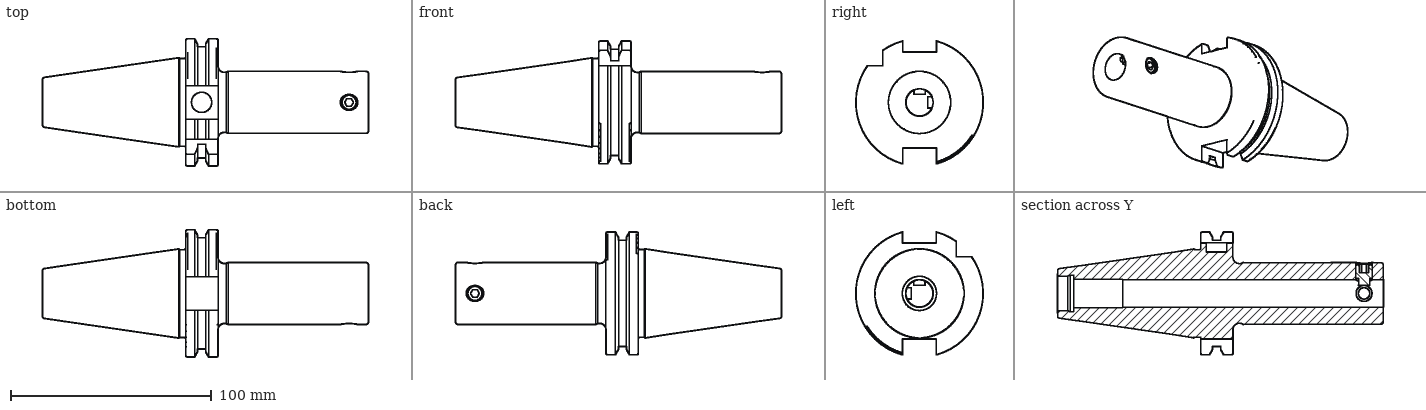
import cadquery as cq
import math


total_length = 162.4
taper_length = 67.9
taper_per_diameter = 7 / 24
gauge_radius = 22.2
taper_start_radius = gauge_radius - taper_length * taper_per_diameter / 2
small_end_round = 1.3
relief_radius = 22.0
relief_start = 68.4
relief_root_fillet = 0.5

flange_start = 71.3
flange_end = 87.5
flange_diameter = 63.5
flange_radius = flange_diameter / 2
flange_rim_round = 1.0
groove_center = 79.3
groove_floor_width = 3.9
groove_mouth_width = 7.0
groove_floor_radius = 27.8
groove_side_angle = 30
groove_side_run = (groove_mouth_width - groove_floor_width) / 2
groove_cut_clearance = 1.6
groove_wall_radius = flange_radius - groove_side_run / math.tan(math.radians(groove_side_angle))

neck_diameter = 30.0
neck_radius = neck_diameter / 2
neck_fillet = 3.0
neck_end = 91.5
shank_start = 92.4
shank_diameter = 31.0
shank_radius = shank_diameter / 2
shank_end_round = 1.5

slot_width = 16.7
upper_slot_floor = 25.2
lower_slot_floor = 22.7
notch_offset = 18.4
chip_hole_diameter = 10.0
chip_hole_depth = 4.5

thread_bore_diameter = 13.8
thread_bore_end = 32.5
bore_diameter = 13.5
counterbore_diameter = 17.0
counterbore_depth = 8.1
counterbore_mouth_diameter = 19.2
counterbore_round = (counterbore_mouth_diameter - counterbore_diameter) / 2
undercut_diameter = 18.0
undercut_length = 3.0
undercut_bevel = 1.1

screw_x = 152.7
screw_diameter = 8.0
screw_tip = 4.0
screw_top = 14.5
screw_top_diameter = 7.0
screw_top_bevel = (screw_diameter - screw_top_diameter) / 2
dog_diameter = 5.7
dog_length = 3.2
hex_corner_diameter = 4.4
hex_depth = 4.0
screw_mouth_diameter = 8.8
screw_mouth_bevel = (screw_mouth_diameter - screw_diameter) / 2
screw_angles = [0, -90]


def revolve_about_x(profile):
    return profile.close().revolve(360, (0, 0, 0), (1, 0, 0))


def turned_blank():
    """Taper, flange blank, neck and shank as one turned shape."""
    profile = (
        cq.Workplane("XY")
        .moveTo(0, 0)
        .lineTo(0, taper_start_radius)
        .lineTo(taper_length, gauge_radius)
        .lineTo(relief_start, relief_radius)
        .lineTo(flange_start - relief_root_fillet, relief_radius)
        .radiusArc((flange_start, relief_radius + relief_root_fillet), -relief_root_fillet)
        .lineTo(flange_start, flange_radius - flange_rim_round)
        .radiusArc((flange_start + flange_rim_round, flange_radius), flange_rim_round)
        .lineTo(flange_end - flange_rim_round, flange_radius)
        .radiusArc((flange_end, flange_radius - flange_rim_round), flange_rim_round)
        .lineTo(flange_end, neck_radius + neck_fillet)
        .radiusArc((flange_end + neck_fillet, neck_radius), -neck_fillet)
        .lineTo(neck_end, neck_radius)
        .lineTo(shank_start, shank_radius)
        .lineTo(total_length, shank_radius)
        .lineTo(total_length, 0)
    )
    blank = revolve_about_x(profile)
    blank = blank.faces("<X").edges().fillet(small_end_round)
    return blank.faces(">X").edges().fillet(shank_end_round)


def gripper_groove():
    """The ring cut from the flange: straight walls at the floor, sloped sides at the mouth."""
    half_floor = groove_floor_width / 2
    half_mouth = groove_mouth_width / 2
    profile = (
        cq.Workplane("XY")
        .moveTo(groove_center - half_floor, groove_floor_radius)
        .lineTo(groove_center - half_floor, groove_wall_radius)
        .lineTo(groove_center - half_mouth, flange_radius)
        .lineTo(groove_center - half_mouth, flange_radius + groove_cut_clearance)
        .lineTo(groove_center + half_mouth, flange_radius + groove_cut_clearance)
        .lineTo(groove_center + half_mouth, flange_radius)
        .lineTo(groove_center + half_floor, groove_wall_radius)
        .lineTo(groove_center + half_floor, groove_floor_radius)
    )
    return revolve_about_x(profile)


def flange_cut(y_range, z_range):
    """A box across the whole width of the flange."""
    return cq.Workplane("XY").box(
        flange_end - flange_start,
        y_range[1] - y_range[0],
        z_range[1] - z_range[0],
        centered=False,
    ).translate((flange_start, y_range[0], z_range[0]))


def axial_bore():
    """Rounded counterbore with an undercut, then the thread bore and the narrower through bore."""
    thread_bore_radius = thread_bore_diameter / 2
    bore_radius = bore_diameter / 2
    counterbore_radius = counterbore_diameter / 2
    undercut_radius = undercut_diameter / 2
    undercut_start = counterbore_depth - undercut_length
    profile = (
        cq.Workplane("XY")
        .moveTo(0, 0)
        .lineTo(0, counterbore_radius + counterbore_round)
        .radiusArc((counterbore_round, counterbore_radius), -counterbore_round)
        .lineTo(undercut_start, counterbore_radius)
        .lineTo(undercut_start + undercut_bevel, undercut_radius)
        .lineTo(counterbore_depth, undercut_radius)
        .lineTo(counterbore_depth, thread_bore_radius)
        .lineTo(thread_bore_end, thread_bore_radius)
        .lineTo(thread_bore_end, bore_radius)
        .lineTo(total_length, bore_radius)
        .lineTo(total_length, 0)
    )
    return revolve_about_x(profile)


def turn_to_seat(shape, angle):
    """Turn a shape built above the +Z side to its place around the shank."""
    return shape.rotate((0, 0, 0), (1, 0, 0), angle)


def screw_hole():
    """A hole from the axis out through the shank, countersunk at its mouth."""
    hole = cq.Workplane("XY").center(screw_x, 0).circle(screw_diameter / 2).extrude(shank_radius)
    mouth = (
        cq.Workplane("XY", origin=(screw_x, 0, shank_radius - screw_mouth_bevel))
        .circle(screw_diameter / 2)
        .workplane(offset=screw_mouth_bevel)
        .circle(screw_mouth_diameter / 2)
        .loft()
    )
    return hole.union(mouth)


def make_holder():
    holder = turned_blank().cut(gripper_groove())
    half_slot = slot_width / 2
    holder = holder.cut(flange_cut((-half_slot, half_slot), (upper_slot_floor, flange_radius)))
    holder = holder.cut(flange_cut((-half_slot, half_slot), (-flange_radius, -lower_slot_floor)))
    holder = holder.cut(flange_cut((-flange_radius, -notch_offset), (notch_offset, flange_radius)))
    chip_hole = (
        cq.Workplane("XY", origin=(groove_center, 0, upper_slot_floor - chip_hole_depth))
        .circle(chip_hole_diameter / 2)
        .extrude(chip_hole_depth)
    )
    holder = holder.cut(chip_hole).cut(axial_bore())
    for angle in screw_angles:
        holder = holder.cut(turn_to_seat(screw_hole(), angle))
    return holder


def make_screw():
    """A set screw with a hexagon socket and a dog point that reaches into the bore."""
    body = (
        cq.Workplane("XY", origin=(screw_x, 0, screw_tip + dog_length))
        .circle(screw_diameter / 2)
        .extrude(screw_top - screw_tip - dog_length)
        .faces(">Z")
        .chamfer(screw_top_bevel)
    )
    dog = (
        cq.Workplane("XY", origin=(screw_x, 0, screw_tip))
        .circle(dog_diameter / 2)
        .extrude(dog_length)
    )
    socket = (
        cq.Workplane("XY", origin=(screw_x, 0, screw_top - hex_depth))
        .polygon(6, hex_corner_diameter)
        .extrude(hex_depth)
    )
    return body.union(dog).cut(socket)


holder = make_holder()
screws = [turn_to_seat(make_screw(), angle) for angle in screw_angles]

result = cq.Compound.makeCompound([holder.val(), *[screw.val() for screw in screws]])